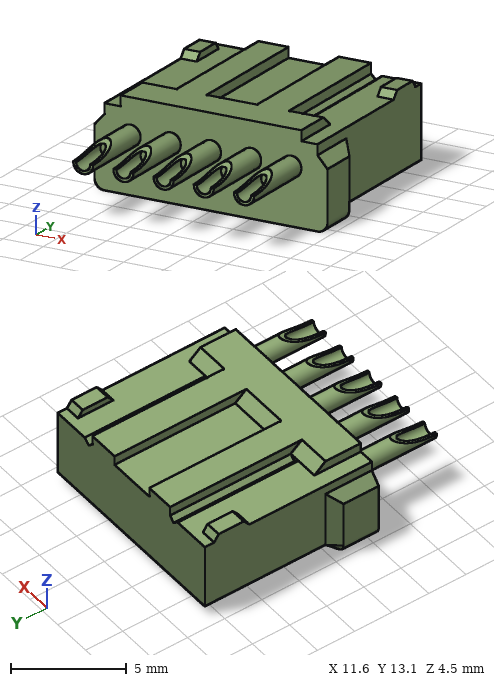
import cadquery as cq


body_width = 10.6
body_length = 9.0
height = 4.5
shelf_drop = 0.5
shelf_z = height - shelf_drop

flange_overhang = 0.5
flange_length = 2.5
flange_rim_length = 1.9
flange_top_z = height - 1.0
flange_shoulder_drop = 0.55
body_bottom_z = flange_overhang

bar_width = 9.0
bar_length = 1.9
bar_slope_foot = 2.5
ridge_outer_x = 2.8
channel_left_x = -1.3
channel_right_x = 1.2

groove_valley_x = 3.05
groove_outer_x = 3.35
groove_depth = 0.25

tab_height = 0.35
tab_setback = 0.5
tab_length = 1.9
tab_front_slope = 0.3
tab_back_slope = 0.25

contact_count = 5
contact_pitch = 2.0
contact_diameter = 1.0
bore_diameter = 0.7
contact_length = 4.1
contact_z = height - 1.75
cup_length = 2.1

half_body = body_width / 2
half_bar = bar_width / 2
sides = (-1, 1)


def block(x_min, x_max, y_min, y_max, z_min, z_max):
    """Box given by its limits."""
    size = (x_max - x_min, y_max - y_min, z_max - z_min)
    return cq.Workplane("XY").box(*size, centered=False).translate((x_min, y_min, z_min))


def prism_along_x(points, x_min, x_max):
    """Prism along X of a (y, z) outline."""
    return cq.Workplane("YZ", origin=(x_min, 0, 0)).polyline(points).close().extrude(x_max - x_min)


def prism_along_y(points, y_min, y_max):
    """Prism along +Y of an (x, z) outline."""
    return cq.Workplane("XZ", origin=(0, y_min, 0)).polyline(points).close().extrude(y_min - y_max)


def flange_side(side):
    """Side wing with a bevelled rear and a sloping shoulder."""
    inner_x = side * half_body
    outer_x = side * (half_body + flange_overhang)
    plan = [(0, 0), (outer_x, 0), (outer_x, flange_rim_length), (inner_x, flange_length), (0, flange_length)]
    wing = (
        cq.Workplane("XY", origin=(0, 0, body_bottom_z))
        .polyline(plan)
        .close()
        .extrude(flange_top_z - body_bottom_z)
    )
    outline = [
        (0, body_bottom_z),
        (outer_x, body_bottom_z),
        (outer_x, flange_top_z - flange_shoulder_drop),
        (inner_x, flange_top_z),
        (0, flange_top_z),
    ]
    return wing.intersect(prism_along_y(outline, 0, flange_length))


def flange_bottom():
    """Lip under the body with a bevelled rear."""
    profile = [
        (0, 0),
        (flange_rim_length, 0),
        (flange_length, body_bottom_z),
        (0, body_bottom_z),
    ]
    return prism_along_x(profile, -half_body, half_body)


def flange_corner(side):
    """Rounded lower corner whose rear bevel tapers to a point."""
    profile = [(0, 0), (flange_overhang, 0), (flange_overhang, flange_rim_length), (0, flange_length)]
    corner = cq.Workplane("XY").polyline(profile).close().revolve(360, (0, 0), (0, 1))
    return corner.translate((side * half_body, 0, body_bottom_z))


def raised_top():
    """Cross bar with a sloped rear, carrying two ridges."""
    profile = [
        (0, shelf_z),
        (bar_slope_foot, shelf_z),
        (bar_length, height),
        (0, height),
    ]
    bar = prism_along_x(profile, -half_bar, half_bar)
    left_ridge = block(-ridge_outer_x, channel_left_x, 0, body_length, shelf_z, height)
    right_ridge = block(channel_right_x, ridge_outer_x, 0, body_length, shelf_z, height)
    return bar.union(left_ridge).union(right_ridge)


def ridge_groove(side):
    """V groove cut into the shelf beside a ridge."""
    outline = [
        (side * ridge_outer_x, shelf_z),
        (side * groove_valley_x, shelf_z - groove_depth),
        (side * groove_outer_x, shelf_z),
    ]
    return prism_along_y(outline, bar_slope_foot, body_length)


def corner_tab(side):
    """Low tab with sloped ends on a side shelf."""
    back = body_length - tab_setback
    front = back - tab_length
    top_z = shelf_z + tab_height
    profile = [
        (front, shelf_z),
        (front + tab_front_slope, top_z),
        (back - tab_back_slope, top_z),
        (back, shelf_z),
    ]
    x_limits = sorted((side * half_bar, side * half_body))
    return prism_along_x(profile, *x_limits)


def solder_contact(x):
    """Round contact whose end is bored and scooped open to a half-round cup."""
    radius = contact_diameter / 2
    tip_y = -contact_length
    contact = cq.Workplane("XZ", origin=(x, 0, contact_z)).circle(radius).extrude(contact_length)
    bore_start = (x, tip_y + cup_length, contact_z)
    bore = cq.Workplane("XZ", origin=bore_start).circle(bore_diameter / 2).extrude(cup_length)
    scoop_radius = (cup_length**2 + radius**2) / contact_diameter
    scoop = (
        cq.Workplane("YZ", origin=(x - radius, tip_y, contact_z + scoop_radius))
        .circle(scoop_radius)
        .extrude(contact_diameter)
    )
    return contact.cut(bore).cut(scoop)


housing = block(-half_body, half_body, 0, body_length, body_bottom_z, shelf_z)
housing = housing.union(flange_bottom()).union(raised_top())
for side in sides:
    housing = housing.union(flange_side(side)).union(flange_corner(side)).union(corner_tab(side))
    housing = housing.cut(ridge_groove(side))

result = housing
for index in range(contact_count):
    contact_x = (index - (contact_count - 1) / 2) * contact_pitch
    result = result.union(solder_contact(contact_x))